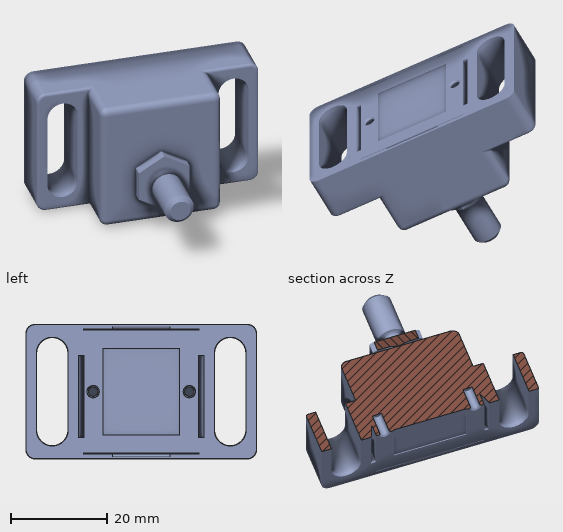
import cadquery as cq
import math


flange_depth = 10.0
flange_width = 48.0
housing_height = 28.0
flange_corner_radius = 2.0
flange_edge_radius = 0.6
housing_depth = 20.0
boss_width = 26.0
boss_corner_radius = 1.5
boss_edge_radius = 1.5

mounting_slot_width = 6.5
mounting_slot_length = 22.5
mounting_slot_spacing = 37.0

panel_width = 16.0
panel_height = 18.0
panel_recess = 0.2

small_hole_diameter = 1.95
small_hole_rim_diameter = 2.55
small_hole_spacing = 20.0
small_hole_depth = 5.0

wedge_depth = 2.8
wedge_inner_y = 11.95
wedge_mouth = 1.05
wedge_length = 17.0
wedge_z = -1.0

slit_depth = 3.0
slit_inner_z = 12.8
slit_thickness = 0.2
slit_length = 24.0
lip_radius = 0.45
lip_length = 12.0

stud_y = -0.15
stud_z = -3.7
hex_start = 20.4
hex_thickness = 2.25
hex_across_flats = 11.0
thread_diameter = 6.35
neck_diameter = 4.7
groove_radius = 1.0
stud_end = 34.7
stud_end_chamfer = 1.0
shank_diameter = 7.0
shank_start = flange_depth


def rounded_block(depth, width, corner_radius):
    """Block standing on the mounting face, with rounded edges along X."""
    block = cq.Workplane("YZ").rect(width, housing_height).extrude(depth)
    return block.edges("|X").fillet(corner_radius)


def make_mounting_slots():
    slots = cq.Workplane("YZ").pushPoints([(side * mounting_slot_spacing / 2, 0) for side in (-1, 1)])
    return slots.slot2D(mounting_slot_length, mounting_slot_width, 90).extrude(flange_depth)


def make_small_holes():
    centres = [(side * small_hole_spacing / 2, 0) for side in (-1, 1)]
    holes = cq.Workplane("YZ").pushPoints(centres).circle(small_hole_diameter / 2).extrude(small_hole_depth)
    rim_depth = (small_hole_rim_diameter - small_hole_diameter) / 2
    rims = cq.Workplane("YZ").pushPoints(centres).circle(small_hole_rim_diameter / 2)
    return holes.union(rims.extrude(rim_depth, taper=45))


def make_wedge_pockets():
    """Each pocket has a straight inner wall and an outer wall that slopes in to meet it."""
    mouth_start = (0, wedge_inner_y)
    mouth_end = (0, wedge_inner_y + wedge_mouth)
    bottom = (wedge_depth, wedge_inner_y)
    profile = cq.Workplane("XY").polyline([mouth_start, mouth_end, bottom]).close()
    pocket = profile.extrude(wedge_length / 2, both=True).translate((0, 0, wedge_z))
    return pocket.union(pocket.mirror("XZ"))


def make_slits():
    slit_centre = slit_inner_z + slit_thickness / 2
    slit_outer_z = slit_inner_z + slit_thickness
    slit = cq.Workplane("YZ").center(0, slit_centre).rect(slit_length, slit_thickness).extrude(slit_depth)

    arc_inset = lip_radius * (1 - math.sin(math.pi / 4))
    lip = (
        cq.Workplane("XZ")
        .moveTo(0, slit_outer_z)
        .lineTo(0, slit_outer_z + lip_radius)
        .threePointArc((arc_inset, slit_outer_z + arc_inset), (lip_radius, slit_outer_z))
        .close()
        .extrude(lip_length / 2, both=True)
    )
    slit = slit.union(lip)
    return slit.union(slit.mirror("XY"))


def make_housing(stud):
    flange = rounded_block(flange_depth, flange_width, flange_corner_radius)
    flange = flange.faces(">X").edges().fillet(flange_edge_radius)
    boss = rounded_block(housing_depth, boss_width, boss_corner_radius)
    boss = boss.faces(">X").edges().fillet(boss_edge_radius)
    panel = cq.Workplane("YZ").rect(panel_width, panel_height).extrude(panel_recess)
    housing = flange.union(boss).cut(make_mounting_slots()).cut(panel)
    housing = housing.cut(make_small_holes()).cut(make_wedge_pockets()).cut(make_slits())
    return housing.cut(stud)


def make_stud():
    """Hexagonal collar with a filleted shank behind it and a grooved round end in front of it."""
    shank_radius = shank_diameter / 2
    thread_radius = thread_diameter / 2
    neck_radius = neck_diameter / 2
    hex_end = hex_start + hex_thickness
    arc_45 = groove_radius * math.sin(math.pi / 4)

    fillet_start = hex_start - groove_radius
    flare_radius = shank_radius + groove_radius

    groove_x = hex_end + groove_radius
    groove_centre_radius = neck_radius + groove_radius
    groove_half_width = math.sqrt(groove_radius**2 - (groove_centre_radius - thread_radius) ** 2)

    profile = (
        cq.Workplane("XY")
        .moveTo(shank_start, 0)
        .lineTo(shank_start, shank_radius)
        .lineTo(fillet_start, shank_radius)
        .threePointArc((fillet_start + arc_45, flare_radius - arc_45), (hex_start, flare_radius))
        .lineTo(hex_end, flare_radius)
        .lineTo(hex_end, thread_radius)
        .lineTo(groove_x - groove_half_width, thread_radius)
        .threePointArc((groove_x, neck_radius), (groove_x + groove_half_width, thread_radius))
        .lineTo(stud_end - stud_end_chamfer, thread_radius)
        .lineTo(stud_end, thread_radius - stud_end_chamfer)
        .lineTo(stud_end, 0)
        .close()
    )
    turned = profile.revolve(360, (0, 0, 0), (1, 0, 0))
    across_corners = hex_across_flats / math.cos(math.pi / 6)
    hexagon = cq.Workplane("YZ", origin=(hex_start, 0, 0)).polygon(6, across_corners).extrude(hex_thickness)
    hexagon = hexagon.rotate((0, 0, 0), (1, 0, 0), 90)
    return turned.union(hexagon).translate((0, stud_y, stud_z))


stud = make_stud()
housing = make_housing(stud)
result = cq.Compound.makeCompound([housing.val(), stud.val()])